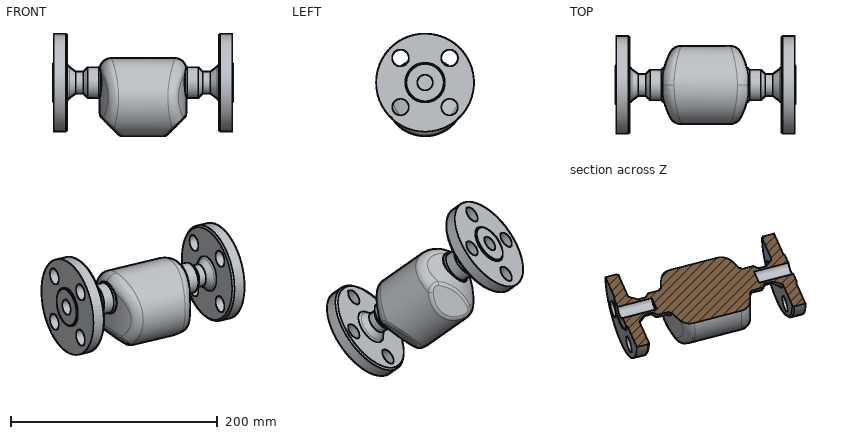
import cadquery as cq
import math

half_length = 87.5
raised_face_height = 1.0
raised_face_base_radius = 19.2
raised_face_top_radius = 18.0

flange_radius = 95.0 / 2
flange_inner_x = 73.2
flange_outer_x = half_length - raised_face_height
flange_chamfer = 1.8
bolt_hole_diameter = 16.0
bolt_circle_radius = 33.6
bolt_count = 4
first_bolt_angle = 45
bore_diameter = 15.0
bore_depth = 35.0

thin_pipe_radius = 21.7 / 2
thick_pipe_radius = 30.0 / 2
thin_pipe_inner_x = 57.8
thin_pipe_outer_x = 65.3
pipe_step_length = thick_pipe_radius - thin_pipe_radius
hub_cone_outer_x = 71.4
hub_cone_radius = 15.4
hub_root_radius = 17.3
neck_flare = 1.5
neck_start_x = 42.7

body_radius = 76.0 / 2
body_axis_z = flange_radius + body_radius - 99.5
body_half_length = 42.2
end_radius = 66.5
end_fillet = 11.5
bevel_top_z = -32.0
bevel_edge_fillet = 5.2
bevel_edge_limit_z = bevel_top_z + 0.9


def rounded_end_prism():
    """Plan outline of the body, two convex end arcs, extruded past the body height."""
    sag = end_radius - math.sqrt(end_radius**2 - body_radius**2)
    corner_x = body_half_length - sag
    outline = (
        cq.Workplane("XY")
        .moveTo(-corner_x, -body_radius)
        .lineTo(corner_x, -body_radius)
        .threePointArc((body_half_length, 0), (corner_x, body_radius))
        .lineTo(-corner_x, body_radius)
        .threePointArc((-body_half_length, 0), (-corner_x, -body_radius))
        .close()
    )
    return outline.extrude(2 * body_radius, both=True)


def bevel_envelope():
    """Prism along Y closed below by the two 45 degree bevel planes."""
    bevel_apex_z = bevel_top_z - body_half_length
    return (
        cq.Workplane("XZ")
        .moveTo(half_length, half_length)
        .lineTo(half_length, bevel_apex_z + half_length)
        .lineTo(0, bevel_apex_z)
        .lineTo(-half_length, bevel_apex_z + half_length)
        .lineTo(-half_length, half_length)
        .close()
        .extrude(half_length, both=True)
    )


def make_body():
    cylinder = (
        cq.Workplane("ZY", origin=(half_length, 0, 0))
        .center(body_axis_z, 0)
        .circle(body_radius)
        .extrude(2 * half_length)
    )
    body = cylinder.intersect(rounded_end_prism())
    body = body.faces(">X or <X").edges().fillet(end_fillet)
    body = body.intersect(bevel_envelope())
    low_box = cq.selectors.BoxSelector(
        (-half_length, -body_radius, -half_length),
        (half_length, body_radius, bevel_edge_limit_z),
    )
    return body.edges(low_box).fillet(bevel_edge_fillet)


def make_connection():
    """Pipe and flange on the +X side, revolved about the X axis."""
    blank = (
        cq.Workplane("XY")
        .lineTo(0, thick_pipe_radius + neck_flare)
        .lineTo(neck_start_x - neck_flare, thick_pipe_radius + neck_flare)
        .lineTo(neck_start_x, thick_pipe_radius)
        .lineTo(thin_pipe_inner_x - pipe_step_length, thick_pipe_radius)
        .lineTo(thin_pipe_inner_x, thin_pipe_radius)
        .lineTo(thin_pipe_outer_x, thin_pipe_radius)
        .lineTo(hub_cone_outer_x, hub_cone_radius)
        .lineTo(flange_inner_x, hub_root_radius)
        .lineTo(flange_inner_x, flange_radius - flange_chamfer)
        .lineTo(flange_inner_x + flange_chamfer, flange_radius)
        .lineTo(flange_outer_x, flange_radius)
        .lineTo(flange_outer_x, raised_face_base_radius)
        .lineTo(half_length, raised_face_top_radius)
        .lineTo(half_length, 0)
        .close()
        .revolve(360, (0, 0, 0), (1, 0, 0))
    )
    bolt_holes = (
        cq.Workplane("YZ", origin=(flange_inner_x, 0, 0))
        .polarArray(bolt_circle_radius, first_bolt_angle, 360, bolt_count)
        .circle(bolt_hole_diameter / 2)
        .extrude(half_length - flange_inner_x)
    )
    return blank.cut(bolt_holes)


def make_bore():
    """Blind bore entering from the +X raised face."""
    return (
        cq.Workplane("YZ", origin=(half_length - bore_depth, 0, 0))
        .circle(bore_diameter / 2)
        .extrude(bore_depth)
    )


connection = make_connection().cut(make_bore())
result = make_body().union(connection).union(connection.mirror("YZ"))